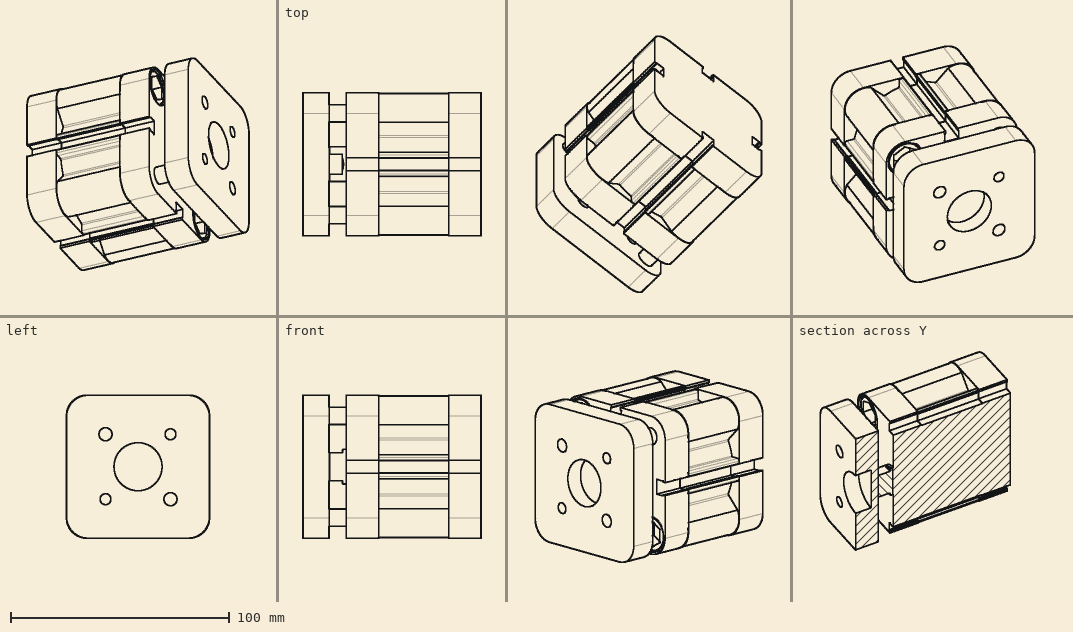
import cadquery as cq
import math

SIZE = 65.5
OVERALL_LENGTH = 81.5
HALF = SIZE / 2
CORNER_R = 9.5
CORNER_CENTRE = HALF - CORNER_R

PLATE_LENGTH = 12.0
GAP = 7.8
CAP_LENGTH = 14.8
FRONT_X = PLATE_LENGTH + GAP
BARREL_X = FRONT_X + CAP_LENGTH
REAR_CAP_X = OVERALL_LENGTH - CAP_LENGTH
BARREL_LENGTH = REAR_CAP_X - BARREL_X

RECESS_D = 22.0
RECESS_DEPTH = 8.0
PLATE_HOLE_OFFSET = 21 / math.sqrt(2)
THREAD_HOLE_D = 6.0
PIN_HOLE_D = 5.0

ROD_D = 16.0
ROD_CHAMFER = 0.3
ROD_ACROSS_FLATS = 13.0
FLAT_LENGTH = 6.1
SHOULDER_BEVEL = 0.5
GUIDE_D = 8.0

BARREL_INSET = 0.3
BARREL_CORNER_R = CORNER_R - BARREL_INSET
CORNER_RIB_WIDTH = 17.4
CORE_R = 28.3
RIB_ROOT_FILLET = 0.8
LIP_HALF_WIDTH = 5.4
LIP_HEIGHT = HALF - BARREL_INSET
LIP_EDGE_FILLET = 1.0
LIP_ROOT_FILLET = 0.7

CAP_MOUTH_HALF = 3.05
CAP_SLOT_HALF = 3.5
CAP_SLOT_FLOOR = 27.1
BARREL_MOUTH_HALF = 2.8
BARREL_SLOT_HALF = 3.6
BARREL_SLOT_FLOOR = 26.9
MOUTH_DEPTH = 1.1
BARREL_MOUTH_BEVEL = 0.25

SCREW_BORE_D = 17.0
SCREW_HEAD_D = 15.5
SCREW_HEAD_RECESS = 0.6
SCREW_RING_DEPTH = 1.2
HEX_ACROSS_FLATS = 10.8
HEX_DEPTH = 6.6

GUIDE_CORNERS = [(-CORNER_CENTRE, CORNER_CENTRE), (CORNER_CENTRE, -CORNER_CENTRE)]
SCREW_CORNERS = [(CORNER_CENTRE, CORNER_CENTRE), (-CORNER_CENTRE, -CORNER_CENTRE)]


def section(x):
    """Sketch plane across the axis at x, with local coordinates (Y, Z)."""
    return cq.Workplane("YZ", origin=(x, 0, 0))


def rounded_block(x, length):
    return section(x).rect(SIZE, SIZE).extrude(length).edges("|X").fillet(CORNER_R)


def turned(body, quarter):
    """The body turned about the X axis by a number of quarter turns."""
    return body.rotate((0, 0, 0), (1, 0, 0), 90 * quarter)


def sensor_slot(x, length, mouth_half, slot_half, floor):
    """Cutter for the slot on the +Z side, with a 45 degree undercut below the mouth."""
    mouth_bottom = HALF - MOUTH_DEPTH
    undercut_bottom = mouth_bottom - (slot_half - mouth_half)
    return (
        section(x)
        .moveTo(-slot_half, floor)
        .lineTo(slot_half, floor)
        .lineTo(slot_half, undercut_bottom)
        .lineTo(mouth_half, mouth_bottom)
        .lineTo(mouth_half, HALF)
        .lineTo(-mouth_half, HALF)
        .lineTo(-mouth_half, mouth_bottom)
        .lineTo(-slot_half, undercut_bottom)
        .close()
        .extrude(length)
    )


def cap(x):
    body = rounded_block(x, CAP_LENGTH)
    slot = sensor_slot(x, CAP_LENGTH, CAP_MOUTH_HALF, CAP_SLOT_HALF, CAP_SLOT_FLOOR)
    for quarter in range(4):
        body = body.cut(turned(slot, quarter))
    return body


def corner_rib():
    """Round-ended rib along the diagonal to the +Y +Z corner."""
    rib_half = CORNER_RIB_WIDTH / 2
    centre = CORNER_CENTRE * math.sqrt(2)
    arc_start = centre + math.sqrt(BARREL_CORNER_R**2 - rib_half**2)
    rib = (
        section(BARREL_X)
        .moveTo(0, -rib_half)
        .lineTo(arc_start, -rib_half)
        .threePointArc((centre + BARREL_CORNER_R, 0), (arc_start, rib_half))
        .lineTo(0, rib_half)
        .close()
        .extrude(BARREL_LENGTH)
    )
    return turned(rib, 0.5)


def slot_rail():
    """Raised rail on the +Z side, rounded along its top edges and where it meets the core."""
    foot_half = LIP_HALF_WIDTH + LIP_ROOT_FILLET
    foot_z = math.sqrt(CORE_R**2 - foot_half**2)
    wall_top = LIP_HEIGHT - LIP_EDGE_FILLET
    top_half = LIP_HALF_WIDTH - LIP_EDGE_FILLET
    return (
        section(BARREL_X)
        .moveTo(-foot_half, 0)
        .lineTo(foot_half, 0)
        .lineTo(foot_half, foot_z)
        .radiusArc((LIP_HALF_WIDTH, foot_z + LIP_ROOT_FILLET), LIP_ROOT_FILLET)
        .lineTo(LIP_HALF_WIDTH, wall_top)
        .radiusArc((top_half, LIP_HEIGHT), -LIP_EDGE_FILLET)
        .lineTo(-top_half, LIP_HEIGHT)
        .radiusArc((-LIP_HALF_WIDTH, wall_top), -LIP_EDGE_FILLET)
        .lineTo(-LIP_HALF_WIDTH, foot_z + LIP_ROOT_FILLET)
        .radiusArc((-foot_half, foot_z), LIP_ROOT_FILLET)
        .close()
        .extrude(BARREL_LENGTH)
    )


def barrel_mouth_bevel():
    """Cutter that bevels both top edges of the +Z barrel slot."""
    return (
        section(BARREL_X)
        .moveTo(-BARREL_MOUTH_HALF, LIP_HEIGHT - BARREL_MOUTH_BEVEL)
        .lineTo(BARREL_MOUTH_HALF, LIP_HEIGHT - BARREL_MOUTH_BEVEL)
        .lineTo(BARREL_MOUTH_HALF + BARREL_MOUTH_BEVEL, LIP_HEIGHT)
        .lineTo(-BARREL_MOUTH_HALF - BARREL_MOUTH_BEVEL, LIP_HEIGHT)
        .close()
        .extrude(BARREL_LENGTH)
    )


def barrel():
    body = section(BARREL_X).circle(CORE_R).extrude(BARREL_LENGTH)
    for quarter in range(4):
        body = body.union(turned(corner_rib(), quarter))
    rib_half = CORNER_RIB_WIDTH / 2
    along = math.sqrt(CORE_R**2 - rib_half**2)
    near, far = (along - rib_half) / math.sqrt(2), (along + rib_half) / math.sqrt(2)
    mid_x = BARREL_X + BARREL_LENGTH / 2
    for y, z in [(near, far), (far, near)]:
        for sy in (-1, 1):
            for sz in (-1, 1):
                root_edge = cq.selectors.NearestToPointSelector((mid_x, sy * y, sz * z))
                body = body.edges("|X").edges(root_edge).fillet(RIB_ROOT_FILLET)
    for quarter in range(4):
        body = body.union(turned(slot_rail(), quarter))
    slot = sensor_slot(BARREL_X, BARREL_LENGTH, BARREL_MOUTH_HALF, BARREL_SLOT_HALF, BARREL_SLOT_FLOOR)
    slot = slot.union(barrel_mouth_bevel())
    for quarter in range(4):
        body = body.cut(turned(slot, quarter))
    return body


def screw_bore():
    """Cutter at the front cap for one screw: head recess, clearance ring and hex socket."""
    head_x = FRONT_X + SCREW_HEAD_RECESS
    recess = section(FRONT_X).circle(SCREW_BORE_D / 2).extrude(SCREW_HEAD_RECESS)
    ring = section(FRONT_X).circle(SCREW_BORE_D / 2).circle(SCREW_HEAD_D / 2).extrude(SCREW_RING_DEPTH)
    across_corners = HEX_ACROSS_FLATS / math.cos(math.pi / 6)
    socket = turned(section(head_x).polygon(6, across_corners).extrude(HEX_DEPTH), 1)
    return recess.union(ring).union(socket)


def make_housing():
    body = cap(FRONT_X).union(barrel()).union(cap(REAR_CAP_X))
    for y, z in SCREW_CORNERS:
        body = body.cut(screw_bore().translate((0, y, z)))
    return body


def make_plate():
    near, far = -PLATE_HOLE_OFFSET, PLATE_HOLE_OFFSET
    recess = section(0).circle(RECESS_D / 2).extrude(RECESS_DEPTH)
    thread_holes = section(0).pushPoints([(far, far), (near, near)]).circle(THREAD_HOLE_D / 2)
    pin_holes = section(0).pushPoints([(far, near), (near, far)]).circle(PIN_HOLE_D / 2)
    body = rounded_block(0, PLATE_LENGTH).cut(recess)
    return body.cut(thread_holes.extrude(PLATE_LENGTH)).cut(pin_holes.extrude(PLATE_LENGTH))


def make_piston_rod():
    body = section(PLATE_LENGTH).circle(ROD_D / 2).extrude(GAP).faces("<X").chamfer(ROD_CHAMFER)
    flat = ROD_ACROSS_FLATS / 2
    shoulder_x = PLATE_LENGTH + FLAT_LENGTH
    bevel_z = ROD_D / 2 - SHOULDER_BEVEL
    wrench_flat = (
        cq.Workplane("XZ")
        .moveTo(PLATE_LENGTH, flat)
        .lineTo(shoulder_x, flat)
        .lineTo(shoulder_x, bevel_z)
        .lineTo(shoulder_x + SHOULDER_BEVEL, ROD_D / 2)
        .lineTo(PLATE_LENGTH, ROD_D / 2)
        .close()
        .extrude(ROD_D / 2, both=True)
    )
    return body.cut(wrench_flat).cut(turned(wrench_flat, 2))


plate = make_plate()
piston_rod = make_piston_rod()
guide_rods = section(PLATE_LENGTH).pushPoints(GUIDE_CORNERS).circle(GUIDE_D / 2).extrude(GAP)
housing = make_housing()

result = cq.Compound.makeCompound([plate.val(), piston_rod.val(), *guide_rods.vals(), housing.val()])